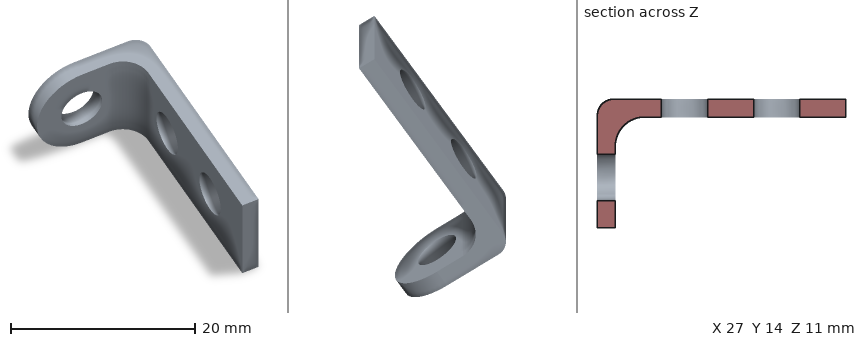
import cadquery as cq

length = 27.0
depth = 14.0
width = 11.0
thickness = 2.0
outer_bend_radius = 1.8
inner_bend_radius = 3.13
hole_diameter = 5.0
first_hole_x = 9.5
hole_spacing = 10.0

end_radius = width / 2
end_center_y = -depth + end_radius


def bent_strip():
    """L-shaped strip with its outer corner at the origin, centred on Z = 0."""
    outline = (
        cq.Workplane("XY")
        .moveTo(0, 0)
        .lineTo(length, 0)
        .lineTo(length, -thickness)
        .lineTo(thickness, -thickness)
        .lineTo(thickness, -depth)
        .lineTo(0, -depth)
        .close()
    )
    strip = outline.extrude(width / 2, both=True)
    inner_corner = cq.selectors.NearestToPointSelector((thickness, -thickness, 0))
    outer_corner = cq.selectors.NearestToPointSelector((0, 0, 0))
    strip = strip.edges("|Z").edges(inner_corner).fillet(inner_bend_radius)
    return strip.edges("|Z").edges(outer_corner).fillet(outer_bend_radius)


def short_leg_envelope():
    """Round-ended outline of the short leg, extended over the long leg."""
    return (
        cq.Workplane("YZ")
        .moveTo(0, end_radius)
        .lineTo(end_center_y, end_radius)
        .threePointArc((-depth, 0), (end_center_y, -end_radius))
        .lineTo(0, -end_radius)
        .close()
        .extrude(length)
    )


def long_leg_holes():
    """Two cutters through the long leg."""
    centers = [(first_hole_x + i * hole_spacing, 0) for i in range(2)]
    return cq.Workplane("XZ").pushPoints(centers).circle(hole_diameter / 2).extrude(thickness)


def short_leg_hole():
    """Cutter through the short leg, concentric with its rounded end."""
    return cq.Workplane("YZ").center(end_center_y, 0).circle(hole_diameter / 2).extrude(thickness)


result = bent_strip().intersect(short_leg_envelope()).cut(long_leg_holes()).cut(short_leg_hole())